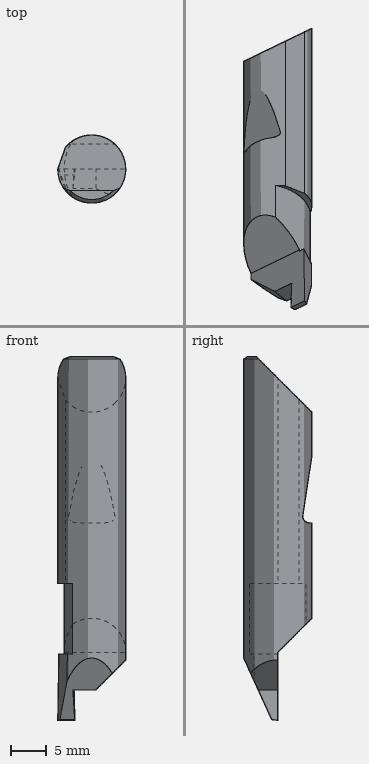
import cadquery as cq
import math

diameter = 9.525
radius = diameter / 2
length = 50.8
margin = 5.0

top_flat_y = -3.0
end_chamfer_width = 0.5
end_chamfer_height = 0.35

side_flat_y = 3.0

notch_bottom_z = 27.6
notch_top_z = 36.8
notch_depth = 1.4
notch_fillet = 0.9

relief_bottom_z = 9.3
relief_top_z = 19.1
relief_half_width = 3.93
relief_centre_x = -3.85

rake_bevel_bottom_z = 9.5
back_slope_top_z = 8.7
tip_thickness = 0.8
nose_slope_top_z = 8.45
shoulder_z = 4.25
end_relief_angle = 7.0

edge_setback = 0.15
edge_relief_angle_bottom = 20.5
edge_relief_angle_top = 20.0

nib_inner_x_bottom = -2.33
nib_inner_x_top = -2.45
nib_inner_relief_angle = 4.0


def slope_run(distance, angle):
    return distance * math.tan(math.radians(angle))


def prism_along_x(points):
    """Extrude a (Y, Z) outline right across the bar in X."""
    return cq.Workplane("YZ").polyline(points).close().extrude(radius + margin, both=True)


def prism_along_y(points):
    """Extrude an (X, Z) outline right across the bar in Y."""
    return cq.Workplane("XZ").polyline(points).close().extrude(radius + margin, both=True)


def ruled_cutter(lower_points, lower_z, upper_points, upper_z):
    """Join two (X, Y) outlines at different heights with straight lines."""
    return (
        cq.Workplane("XY", origin=(0, 0, lower_z))
        .polyline(lower_points).close()
        .workplane(offset=upper_z - lower_z)
        .polyline(upper_points).close()
        .loft(ruled=True)
    )


def shank():
    outline = [
        (0, 0),
        (radius, 0),
        (radius, length - end_chamfer_height),
        (radius - end_chamfer_width, length),
        (0, length),
    ]
    return cq.Workplane("XZ").polyline(outline).close().revolve(360, (0, 0, 0), (0, 1, 0))


def shank_end_bevel():
    reach = radius + margin
    return prism_along_x([
        (top_flat_y - margin, length + margin),
        (reach, length - (reach - top_flat_y)),
        (reach, length + margin),
    ])


def side_flat():
    far_x = -math.sqrt(radius**2 - side_flat_y**2)
    outline = [(-radius, 0), (far_x, side_flat_y), (-radius - margin, side_flat_y), (-radius - margin, 0)]
    return cq.Workplane("XY").polyline(outline).close().extrude(length)


def clamping_notch():
    floor_y = radius - notch_depth
    slope = notch_depth / (notch_top_z - notch_bottom_z)
    cutter = prism_along_x([
        (floor_y, notch_bottom_z),
        (radius + margin, notch_bottom_z),
        (radius + margin, notch_top_z + margin / slope),
    ])
    return cutter.edges("|X").edges("<Y").fillet(notch_fillet)


def curved_relief():
    edge_x = -math.sqrt(radius**2 - relief_half_width**2)
    return (
        cq.Workplane("XY", origin=(0, 0, relief_bottom_z))
        .moveTo(edge_x, -relief_half_width)
        .threePointArc((relief_centre_x, 0), (edge_x, relief_half_width))
        .lineTo(-radius - margin, relief_half_width)
        .lineTo(-radius - margin, -relief_half_width)
        .close()
        .extrude(relief_top_z - relief_bottom_z)
    )


def rake_face():
    reach = radius + margin
    return prism_along_x([
        (0, -margin),
        (0, rake_bevel_bottom_z),
        (reach, rake_bevel_bottom_z + reach),
        (reach, -margin),
    ])


def back_slope():
    slope = (radius - tip_thickness) / back_slope_top_z
    return prism_along_x([
        (-tip_thickness + slope * margin, -margin),
        (-radius - slope * margin, back_slope_top_z + margin),
        (-radius - margin, -margin),
    ])


def end_relief():
    reach = radius + margin
    return prism_along_x([(0, 0), (-reach, slope_run(reach, end_relief_angle)), (-reach, -margin), (0, -margin)])


def nose_slope():
    corner_x = radius - (nose_slope_top_z - shoulder_z)
    return prism_along_y([
        (corner_x, shoulder_z),
        (radius + margin, nose_slope_top_z + margin),
        (radius + margin, -margin),
        (corner_x, -margin),
    ])


def nib_side():
    def outline(inner_x):
        relieved_x = inner_x - slope_run(radius, nib_inner_relief_angle)
        return [
            (inner_x, 0),
            (relieved_x, -radius),
            (radius + margin, -radius),
            (radius + margin, 0),
        ]

    return ruled_cutter(outline(nib_inner_x_bottom), 0, outline(nib_inner_x_top), shoulder_z)


def cutting_edge_relief():
    def outline(edge_x, angle):
        return [
            (edge_x, 0),
            (edge_x + slope_run(radius, angle), -radius),
            (-radius - margin, -radius),
            (-radius - margin, 0),
        ]

    return ruled_cutter(
        outline(-radius, edge_relief_angle_bottom), 0,
        outline(-radius + edge_setback, edge_relief_angle_top), relief_bottom_z,
    )


result = shank()
for cutter in (
    shank_end_bevel(),
    side_flat(),
    clamping_notch(),
    curved_relief(),
    rake_face(),
    back_slope(),
    end_relief(),
    nose_slope(),
    nib_side(),
    cutting_edge_relief(),
):
    result = result.cut(cutter)
result = result.solids()